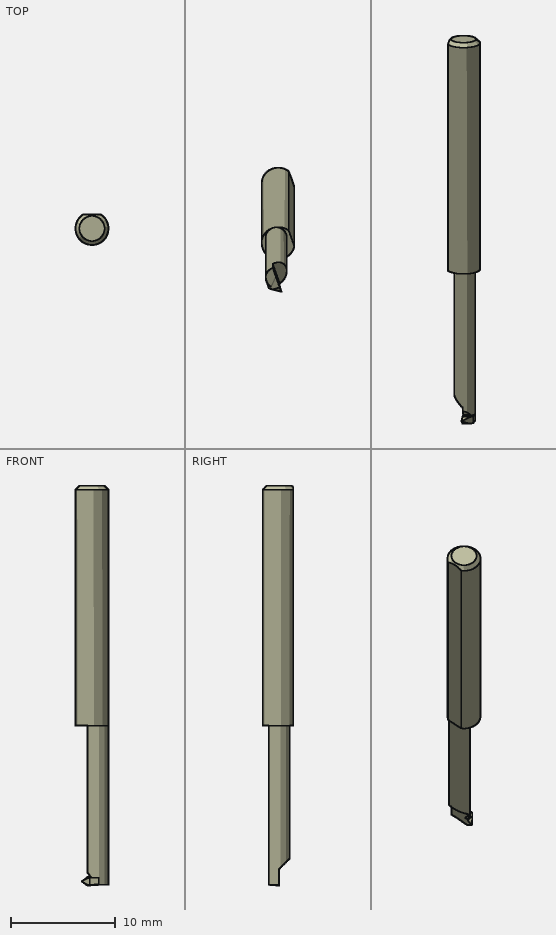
import cadquery as cq

total_length = 38.1
shank_diameter = 3.15
shank_start = 15.25
shank_chamfer = 0.4
shank_flat_y = 1.353

neck_diameter = 2.02
neck_start = 0.08

rake_face_top = 1.6

tooth_tip_x = -1.0
tooth_tip_z = 0.42
tooth_heel_x = -0.42
tooth_shoulder_x = -0.45
tooth_shoulder_z = 0.75
tooth_top = 0.85
tooth_right = 0.72
tooth_back_left = -0.2
tooth_clearance_angle = 4.0

relief_top = 1.25
relief_inner_x = -0.135

shank_radius = shank_diameter / 2
neck_radius = neck_diameter / 2
neck_center_x = shank_radius - neck_radius
neck_left = neck_center_x - neck_radius


def make_shank():
    """Round shank with a chamfered end and a flat along its +Y side."""
    shank = (
        cq.Workplane("XY", origin=(0, 0, shank_start))
        .circle(shank_radius)
        .extrude(total_length - shank_start)
        .faces(">Z")
        .chamfer(shank_chamfer)
    )
    flat_cutter = cq.Workplane("XY").box(
        shank_diameter, shank_diameter, total_length, centered=(True, False, False)
    )
    return shank.cut(flat_cutter.translate((0, shank_flat_y, 0)))


def make_neck():
    """Offset round neck with the half-round tip and the relief above the tooth."""
    neck = (
        cq.Workplane("XY", origin=(neck_center_x, 0, neck_start))
        .circle(neck_radius)
        .extrude(shank_start - neck_start)
    )
    rake_cutter = (
        cq.Workplane("YZ")
        .polyline([
            (0, 0),
            (0, rake_face_top),
            (neck_diameter, rake_face_top + neck_diameter),
            (neck_diameter, 0),
        ])
        .close()
        .extrude(shank_diameter, both=True)
    )
    relief_cutter = (
        cq.Workplane("XZ")
        .polyline([
            (neck_left, relief_top),
            (relief_inner_x, tooth_top),
            (neck_left, tooth_top),
        ])
        .close()
        .extrude(neck_diameter, both=True)
    )
    return neck.cut(rake_cutter).cut(relief_cutter)


def make_tooth():
    """Pointed tooth, tapered behind the rake face and cleared back from its tip."""
    profile = (
        cq.Workplane("XZ")
        .polyline([
            (tooth_right, neck_start),
            (tooth_heel_x, 0),
            (tooth_tip_x, tooth_tip_z),
            (tooth_shoulder_x, tooth_shoulder_z),
            (relief_inner_x, tooth_top),
            (tooth_right, tooth_top),
        ])
        .close()
        .extrude(neck_radius, taper=tooth_clearance_angle)
    )
    plan = (
        cq.Workplane("XY")
        .polyline([
            (tooth_tip_x, 0),
            (tooth_back_left, -neck_radius),
            (tooth_right, -neck_radius),
            (tooth_right, 0),
        ])
        .close()
        .extrude(tooth_top)
    )
    return profile.intersect(plan)


result = make_shank().union(make_neck()).union(make_tooth())